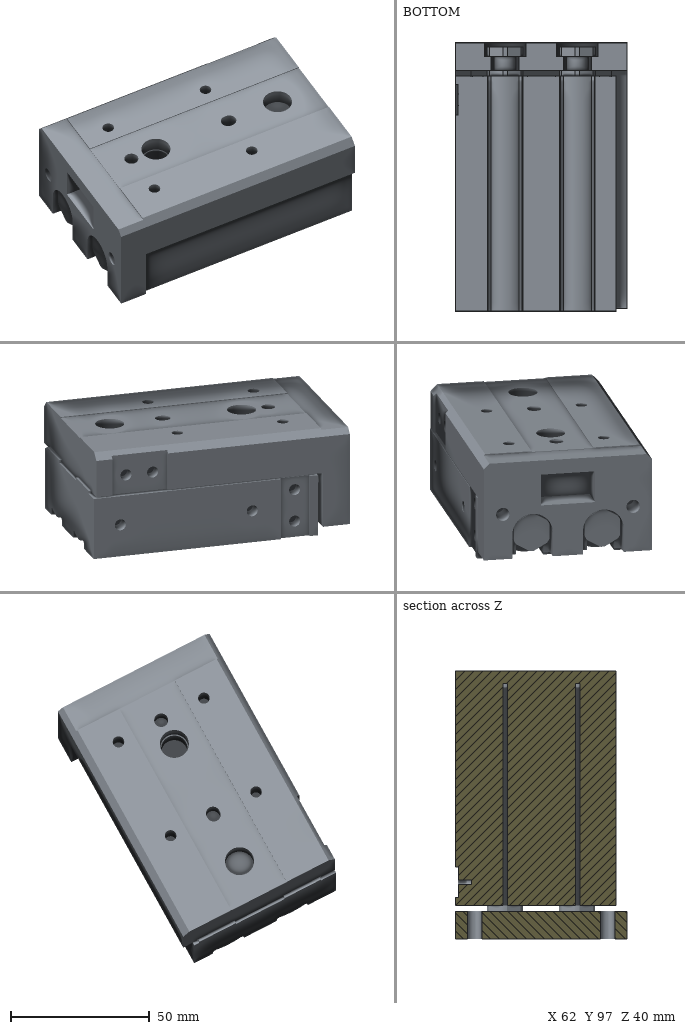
import cadquery as cq
import math


TABLE_WIDTH = 62.0
OVERALL_LENGTH = 97.0
OVERALL_HEIGHT = 40.0
CENTRE_X = TABLE_WIDTH / 2

PLATE_THICKNESS = 10.2
PLATE_BOTTOM = 3.0
PLATE_TOP = 39.5
PLATE_CHAMFER = 2.0
POCKET_DEPTH = 10.0
POCKET_BOTTOM = 22.5
PLATE_HOLE_DIAMETER = 4.9
PLATE_HOLE_SPACING = 48.0
PLATE_HOLE_Z = 20.0

ROD_SPACING = 26.1
ROD_Z = 12.0
HEX_ACROSS_FLATS = 13.0
HEX_ROUND_DIAMETER = 14.2
HEX_SETBACK = 1.6
ROD_DIAMETER = 8.0
HEAD_SLOT_WIDTH = 14.9
HEAD_SLOT_DEPTH = 5.0
NECK_SLOT_WIDTH = 10.1

RAIL_WIDTH = 20.0
RAIL_TOP = 34.1
RAIL_HOLE_DIAMETER = 9.5
RAIL_HOLE_DEPTH = 5.8

HOUSING_WIDTH = 58.0
HOUSING_FRONT = 12.1
SHOULDER_Z = 23.0
RIDGE_TOP = 24.1
RIDGES_WIDTH = 49.8
FLANGE_THICKNESS = 3.0
BORE_DIAMETER = 16.0
BORE_END_WALL = 4.85
TUBE_DIAMETER = 21.0
GROOVE_MOUTH_WIDTH = 12.8
GROOVE_NECK_WIDTH = 12.2
GROOVE_NECK_Z = 2.3
GROOVE_ROOF_WIDTH = 10.1
PORT_RECESS_LENGTH = 11.0
RECESS_DEPTH = 1.0
SIDE_HOLE_DIAMETER = 4.2
SIDE_HOLE_DEPTH = 5.8
PORT_HOLE_Z_OFFSET = 6.0
HOUSING_HOLES_Y = (37.0, 86.9)

TABLE_BACK = 96.0
TABLE_BOTTOM = 23.6
TABLE_CHAMFER = 2.5
TOP_GROOVE_WIDTH = 22.7
TOP_GROOVE_DEPTH = 0.3
RIDGE_CLEARANCE = 0.5
TAPPED_HOLE_DIAMETER = 4.2
TAPPED_HOLE_DEPTH = 7.8
TAPPED_SPACING_X = 34.9
FRONT_HOLES_Y = 21.05
HOLE_SPACING_Y = 40.0
DOWEL_DIAMETER = 5.0
DOWEL_SLOT_LENGTH = 5.6
ACCESS_DIAMETER = 10.5
FRONT_ACCESS_Y = 31.1
ACCESS_SPACING_Y = 50.0
SWITCH_RECESS_Y = 68.9
SWITCH_RECESS_LENGTH = 21.05
SWITCH_HOLES_Y = (74.4, 84.5)
SWITCH_HOLES_Z = 30.6

ROD_XS = [CENTRE_X - ROD_SPACING / 2, CENTRE_X + ROD_SPACING / 2]
FLANGE_BACK = HOUSING_FRONT + FLANGE_THICKNESS
BORE_END = OVERALL_LENGTH - BORE_END_WALL
BACK_HOLES_Y = FRONT_HOLES_Y + HOLE_SPACING_Y
BACK_ACCESS_Y = FRONT_ACCESS_Y + ACCESS_SPACING_Y


def box(x0, x1, y0, y1, z0, z1):
    """Box between two opposite corners."""
    return cq.Workplane("XY").box(x1 - x0, y1 - y0, z1 - z0, centered=False).translate((x0, y0, z0))


def centred_box(x, width, y0, y1, z0, z1):
    """Box of a given width centred on x."""
    return box(x - width / 2, x + width / 2, y0, y1, z0, z1)


def cylinder_x(diameter, x0, x1, y, z):
    """Cylinder along X."""
    return cq.Workplane("YZ", origin=(x0, y, z)).circle(diameter / 2).extrude(x1 - x0)


def cylinder_y(diameter, x, y0, y1, z):
    """Cylinder along Y."""
    return cq.Workplane("XZ", origin=(x, y0, z)).circle(diameter / 2).extrude(y0 - y1)


def cylinder_z(diameter, x, y, z0, z1):
    """Cylinder along Z."""
    return cq.Workplane("XY", origin=(x, y, z0)).circle(diameter / 2).extrude(z1 - z0)


def underside_groove(x):
    """Groove along the underside whose roof bulges down around the bore."""
    tube_radius = TUBE_DIAMETER / 2
    roof_half_width = GROOVE_ROOF_WIDTH / 2
    roof_edge_z = ROD_Z - math.sqrt(tube_radius**2 - roof_half_width**2)
    return (
        cq.Workplane("XZ", origin=(x, HOUSING_FRONT, 0))
        .moveTo(-GROOVE_MOUTH_WIDTH / 2, 0)
        .lineTo(-GROOVE_NECK_WIDTH / 2, GROOVE_NECK_Z)
        .lineTo(-roof_half_width, roof_edge_z)
        .threePointArc((0, ROD_Z - tube_radius), (roof_half_width, roof_edge_z))
        .lineTo(GROOVE_NECK_WIDTH / 2, GROOVE_NECK_Z)
        .lineTo(GROOVE_MOUTH_WIDTH / 2, 0)
        .close()
        .extrude(HOUSING_FRONT - OVERALL_LENGTH)
    )


def open_slot(x, width, y0, y1):
    """Slot around a rod: round at the top and open at the bottom."""
    return cylinder_y(width, x, y0, y1, ROD_Z).union(centred_box(x, width, y0, y1, 0, ROD_Z))


def make_housing():
    body = box(0, HOUSING_WIDTH, HOUSING_FRONT, OVERALL_LENGTH, 0, SHOULDER_Z)
    ridges = centred_box(CENTRE_X, RIDGES_WIDTH, HOUSING_FRONT, OVERALL_LENGTH, SHOULDER_Z, RIDGE_TOP)
    rail_seat = centred_box(CENTRE_X, RAIL_WIDTH, HOUSING_FRONT, OVERALL_LENGTH, SHOULDER_Z, RIDGE_TOP)
    body = body.union(ridges.cut(rail_seat))

    for x in ROD_XS:
        body = body.cut(underside_groove(x))
        body = body.cut(cylinder_y(BORE_DIAMETER, x, HOUSING_FRONT, BORE_END, ROD_Z))

    recess_back = FLANGE_BACK + PORT_RECESS_LENGTH
    port_y = (FLANGE_BACK + recess_back) / 2
    body = body.cut(box(0, RECESS_DEPTH, FLANGE_BACK, recess_back, 0, SHOULDER_Z))
    for z in (ROD_Z - PORT_HOLE_Z_OFFSET, ROD_Z + PORT_HOLE_Z_OFFSET):
        body = body.cut(cylinder_x(SIDE_HOLE_DIAMETER, 0, SIDE_HOLE_DEPTH, port_y, z))

    for y in HOUSING_HOLES_Y:
        body = body.cut(cylinder_x(SIDE_HOLE_DIAMETER, 0, SIDE_HOLE_DEPTH, y, ROD_Z))
    return body


def make_rail():
    rail = centred_box(CENTRE_X, RAIL_WIDTH, HOUSING_FRONT, TABLE_BACK, SHOULDER_Z, RAIL_TOP)
    hole = cylinder_z(RAIL_HOLE_DIAMETER, CENTRE_X, FRONT_ACCESS_Y, RAIL_TOP - RAIL_HOLE_DEPTH, RAIL_TOP)
    return rail.cut(hole)


def make_table():
    table = box(0, TABLE_WIDTH, PLATE_THICKNESS, TABLE_BACK, TABLE_BOTTOM, OVERALL_HEIGHT)
    table = table.faces(">Z").edges("|Y").chamfer(TABLE_CHAMFER)

    groove_floor = OVERALL_HEIGHT - TOP_GROOVE_DEPTH
    table = table.cut(
        centred_box(CENTRE_X, TOP_GROOVE_WIDTH, PLATE_THICKNESS, TABLE_BACK, groove_floor, OVERALL_HEIGHT)
    )

    table = table.cut(
        centred_box(CENTRE_X, RAIL_WIDTH, PLATE_THICKNESS, TABLE_BACK, TABLE_BOTTOM, RAIL_TOP)
    )
    relief_width = RIDGES_WIDTH + 2 * RIDGE_CLEARANCE
    relief_top = RIDGE_TOP + RIDGE_CLEARANCE
    table = table.cut(
        centred_box(CENTRE_X, relief_width, PLATE_THICKNESS, TABLE_BACK, TABLE_BOTTOM, relief_top)
    )

    for y in (FRONT_HOLES_Y, BACK_HOLES_Y):
        for x in (CENTRE_X - TAPPED_SPACING_X / 2, CENTRE_X + TAPPED_SPACING_X / 2):
            bottom = OVERALL_HEIGHT - TAPPED_HOLE_DEPTH
            table = table.cut(cylinder_z(TAPPED_HOLE_DIAMETER, x, y, bottom, OVERALL_HEIGHT))

    table = table.cut(cylinder_z(DOWEL_DIAMETER, CENTRE_X, FRONT_HOLES_Y, RAIL_TOP, OVERALL_HEIGHT))
    dowel_slot = (
        cq.Workplane("XY", origin=(CENTRE_X, BACK_HOLES_Y, RAIL_TOP))
        .slot2D(DOWEL_SLOT_LENGTH, DOWEL_DIAMETER, 90)
        .extrude(OVERALL_HEIGHT - RAIL_TOP)
    )
    table = table.cut(dowel_slot)

    for y in (FRONT_ACCESS_Y, BACK_ACCESS_Y):
        table = table.cut(cylinder_z(ACCESS_DIAMETER, CENTRE_X, y, RAIL_TOP, OVERALL_HEIGHT))

    recess_back = SWITCH_RECESS_Y + SWITCH_RECESS_LENGTH
    table = table.cut(box(0, RECESS_DEPTH, SWITCH_RECESS_Y, recess_back, TABLE_BOTTOM, OVERALL_HEIGHT))
    for y in SWITCH_HOLES_Y:
        table = table.cut(cylinder_x(SIDE_HOLE_DIAMETER, 0, SIDE_HOLE_DEPTH, y, SWITCH_HOLES_Z))
    return table


def make_end_plate():
    plate = box(0, TABLE_WIDTH, 0, PLATE_THICKNESS, PLATE_BOTTOM, PLATE_TOP)
    plate = plate.faces(">Z").edges("|Y").chamfer(PLATE_CHAMFER)

    plate = plate.cut(centred_box(CENTRE_X, RAIL_WIDTH, 0, POCKET_DEPTH, POCKET_BOTTOM, RAIL_TOP))

    for x in ROD_XS:
        plate = plate.cut(open_slot(x, HEAD_SLOT_WIDTH, 0, HEAD_SLOT_DEPTH))
        plate = plate.cut(open_slot(x, NECK_SLOT_WIDTH, HEAD_SLOT_DEPTH, PLATE_THICKNESS))

    for x in (CENTRE_X - PLATE_HOLE_SPACING / 2, CENTRE_X + PLATE_HOLE_SPACING / 2):
        plate = plate.cut(cylinder_y(PLATE_HOLE_DIAMETER, x, 0, PLATE_THICKNESS, PLATE_HOLE_Z))
    return plate


def rounded_hexagon(x, y0, y1):
    """Hexagonal prism along Y with one corner up and its corners turned to a cylinder."""
    across_corners = HEX_ACROSS_FLATS / math.cos(math.pi / 6)
    hexagon = (
        cq.Workplane("XZ", origin=(x, y0, ROD_Z))
        .transformed(rotate=(0, 0, 90))
        .polygon(6, across_corners)
        .extrude(y0 - y1)
    )
    return hexagon.intersect(cylinder_y(HEX_ROUND_DIAMETER, x, y0, y1, ROD_Z))


def make_rod(x):
    """Rod whose head and collar hold the end plate between them."""
    head = rounded_hexagon(x, HEX_SETBACK, HEAD_SLOT_DEPTH)
    collar = rounded_hexagon(x, PLATE_THICKNESS, HOUSING_FRONT)
    shank = cylinder_y(ROD_DIAMETER, x, HEAD_SLOT_DEPTH, BORE_END, ROD_Z)
    return shank.union(head).union(collar)


housing = make_housing()
rail = make_rail()
table = make_table()
end_plate = make_end_plate()
rods = [make_rod(x) for x in ROD_XS]

result = cq.Compound.makeCompound(
    [housing.val(), rail.val(), table.val(), end_plate.val(), *[rod.val() for rod in rods]]
)